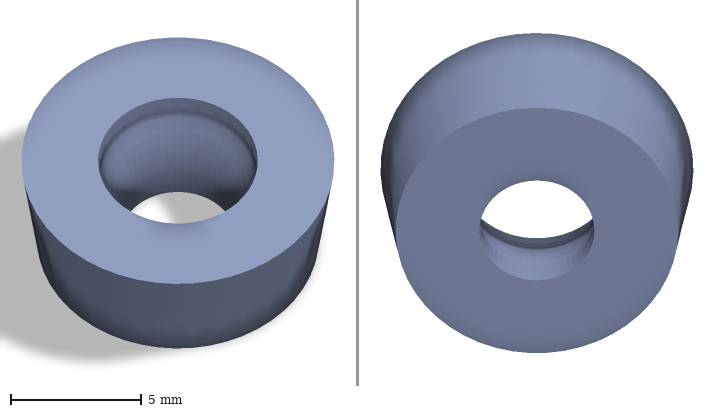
import cadquery as cq
import math

top_diameter = 12.0
height = 4.76
relief_angle = 7.0

recess_diameter = 6.12
recess_end_diameter = 6.02
recess_depth = 0.8
seat_diameter = 5.83
blend_depth = 0.25
bore_diameter = 4.4
seat_bottom_depth = 3.36

top_radius = top_diameter / 2
bottom_radius = top_radius - height * math.tan(math.radians(relief_angle))
recess_radius = recess_diameter / 2
recess_end_radius = recess_end_diameter / 2
seat_radius = seat_diameter / 2
bore_radius = bore_diameter / 2

recess_wall_end_z = height - recess_depth
seat_top_z = recess_wall_end_z - blend_depth
seat_bottom_z = height - seat_bottom_depth

seat_width = seat_radius - bore_radius
seat_height = seat_top_z - seat_bottom_z
seat_arc_radius = (seat_width**2 + seat_height**2) / (2 * seat_width)
half_sweep = math.atan2(seat_width, seat_height)
seat_mid = (
    bore_radius + seat_arc_radius * (1 - math.cos(half_sweep)),
    seat_bottom_z + seat_arc_radius * math.sin(half_sweep),
)

section = (
    cq.Workplane("XZ")
    .moveTo(bore_radius, 0)
    .lineTo(bottom_radius, 0)
    .lineTo(top_radius, height)
    .lineTo(recess_radius, height)
    .lineTo(recess_end_radius, recess_wall_end_z)
    .tangentArcPoint((seat_radius, seat_top_z), relative=False)
    .threePointArc(seat_mid, (bore_radius, seat_bottom_z))
    .close()
)

result = section.revolve(360, (0, 0, 0), (0, 1, 0))